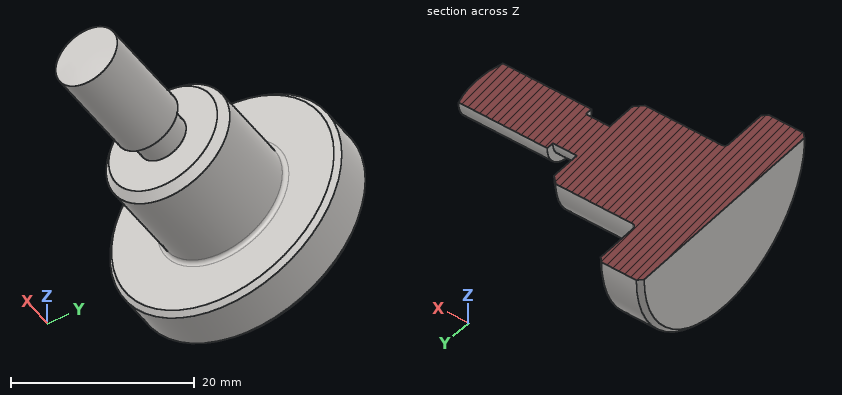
import cadquery as cq

total_length = 34.0
head_length = 6.0
collar_end = 18.0
neck_end = 21.2
dome_height = 0.6

head_diameter = 30.0
collar_diameter = 16.0
neck_diameter = 6.0
pin_diameter = 8.0

head_chamfer = 0.6
collar_chamfer = 1.0
collar_root_fillet = 0.5

head_radius = head_diameter / 2
collar_radius = collar_diameter / 2
neck_radius = neck_diameter / 2
pin_radius = pin_diameter / 2
dome_start = total_length - dome_height

dome_radius = (pin_radius**2 + dome_height**2) / (2 * dome_height)
dome_mid_radius = pin_radius / 2
dome_mid_x = total_length - dome_radius + (dome_radius**2 - dome_mid_radius**2) ** 0.5

profile = (
    cq.Workplane("XY")
    .lineTo(0, head_radius - head_chamfer)
    .lineTo(head_chamfer, head_radius)
    .lineTo(head_length - head_chamfer, head_radius)
    .lineTo(head_length, head_radius - head_chamfer)
    .lineTo(head_length, collar_radius + collar_root_fillet)
    .radiusArc((head_length + collar_root_fillet, collar_radius), -collar_root_fillet)
    .lineTo(collar_end - collar_chamfer, collar_radius)
    .lineTo(collar_end, collar_radius - collar_chamfer)
    .lineTo(collar_end, neck_radius)
    .lineTo(neck_end, neck_radius)
    .lineTo(neck_end, pin_radius)
    .lineTo(dome_start, pin_radius)
    .threePointArc((dome_mid_x, dome_mid_radius), (total_length, 0))
    .close()
)

result = profile.revolve(360, (0, 0, 0), (1, 0, 0))